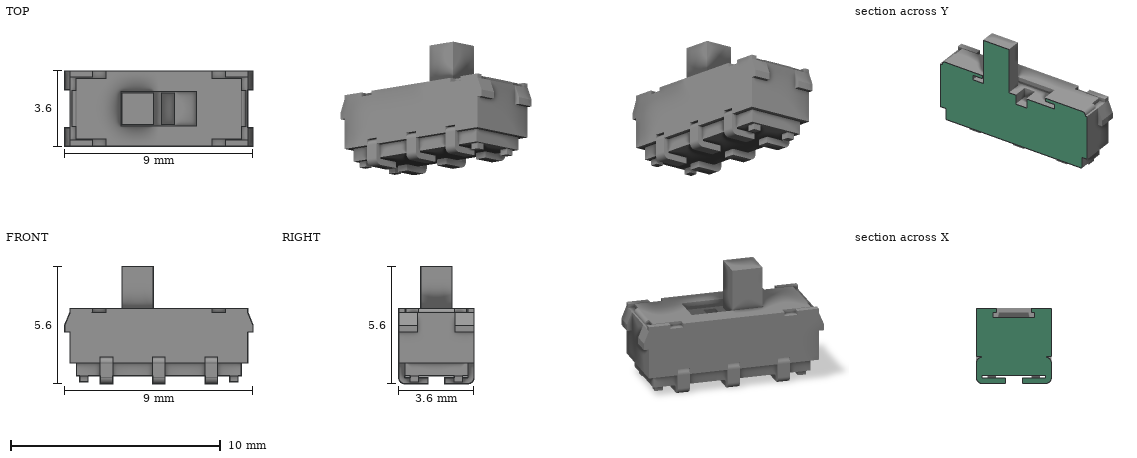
import cadquery as cq
import math

overall_length = 9.0
housing_length = 8.5
housing_width = 3.6
housing_bottom = 0.99
cover_top = 3.6
cover_thickness = 0.2
housing_top = cover_top - cover_thickness

base_length = 7.87
base_bottom = 0.38

cover_length = 7.9
cover_wide_length = 5.06
cover_end_width = 2.88

lip_width = 1.71

rim_length = 1.08
rim_thickness = 0.3

ear_reach = (overall_length - housing_length) / 2
ear_width = 0.9
ear_bottom = 2.47
ear_slope_bottom = 2.79

slot_length = 3.6
slot_width = 1.66
recess_length = 4.68
recess_width = 1.96
recess_floor = 3.18

knob_size = 1.5
knob_center_x = -1.01
knob_top = 5.6
pocket_length = 0.6
pocket_center_x = 0.43
pocket_depth = 0.5

terminal_pitch = 2.5
terminal_width = 0.6
terminal_thickness = 0.3
terminal_inner_y = 0.4

base_width = housing_width - 2 * terminal_thickness

peg_size = 0.405
peg_bottom = 0.1
peg_center_x = 3.57
peg_center_y = 1.05


def block(length, width, bottom, top, center_x=0.0, center_y=0.0):
    """Rectangular block with its lower and upper faces at the given heights."""
    return (
        cq.Workplane("XY", origin=(center_x, center_y, bottom))
        .rect(length, width)
        .extrude(top - bottom)
    )


def on_both_sides(shape, mirror_plane):
    """The shape together with its mirror image."""
    return shape.union(shape.mirror(mirror_plane))


def at_four_corners(shape):
    """The shape repeated in all four quadrants."""
    return on_both_sides(on_both_sides(shape, "YZ"), "XZ")


def make_cover():
    ends = block(cover_length, cover_end_width, housing_top, cover_top)
    middle = block(cover_wide_length, housing_width, housing_top, cover_top)
    return ends.union(middle)


def make_lip():
    """Quarter-round that rolls down from the cover edge to the housing."""
    edge_x = cover_length / 2
    arc_mid = cover_thickness * math.sqrt(0.5)
    return (
        cq.Workplane("XZ")
        .moveTo(edge_x, housing_top)
        .lineTo(edge_x + cover_thickness, housing_top)
        .threePointArc((edge_x + arc_mid, housing_top + arc_mid), (edge_x, cover_top))
        .close()
        .extrude(lip_width / 2, both=True)
    )


def make_rim():
    return block(
        rim_length,
        rim_thickness,
        housing_top,
        cover_top,
        (housing_length - rim_length) / 2,
        (housing_width - rim_thickness) / 2,
    )


def make_ear():
    """Ear with a sloped upper face, flush with the long side of the housing."""
    face_x = housing_length / 2
    return (
        cq.Workplane("XZ", origin=(0, housing_width / 2, 0))
        .moveTo(face_x, ear_bottom)
        .lineTo(face_x + ear_reach, ear_bottom)
        .lineTo(face_x + ear_reach, ear_slope_bottom)
        .lineTo(face_x, housing_top)
        .close()
        .extrude(ear_width)
    )


def make_terminal(center_x):
    """Strip with a rounded top end, a vertical leg and a foot bent inwards."""
    outer_y = housing_width / 2
    leg_inner_y = outer_y - terminal_thickness
    bend_mid = terminal_thickness * math.sqrt(0.5)
    return (
        cq.Workplane("YZ", origin=(center_x, 0, 0))
        .moveTo(terminal_inner_y, 0)
        .lineTo(leg_inner_y, 0)
        .threePointArc(
            (leg_inner_y + bend_mid, terminal_thickness - bend_mid),
            (outer_y, terminal_thickness),
        )
        .lineTo(outer_y, housing_bottom)
        .threePointArc(
            (leg_inner_y + bend_mid, housing_bottom + bend_mid),
            (leg_inner_y, housing_bottom + terminal_thickness),
        )
        .lineTo(leg_inner_y, terminal_thickness)
        .lineTo(terminal_inner_y, terminal_thickness)
        .close()
        .extrude(terminal_width / 2, both=True)
    )


def make_terminal_notch(center_x):
    """Space in the lower edge of the housing for the rounded top of a terminal."""
    return block(
        terminal_width,
        terminal_thickness,
        housing_bottom,
        housing_bottom + terminal_thickness,
        center_x,
        (housing_width - terminal_thickness) / 2,
    )


body = block(housing_length, housing_width, housing_bottom, housing_top)
body = body.union(block(base_length, base_width, base_bottom, housing_bottom))
body = body.union(make_cover())
body = body.union(on_both_sides(make_lip(), "YZ"))
body = body.union(at_four_corners(make_rim()))
body = body.union(at_four_corners(make_ear()))

body = body.cut(block(slot_length, slot_width, housing_top, cover_top))
body = body.cut(block(recess_length, recess_width, recess_floor, housing_top))
body = body.cut(
    block(pocket_length, knob_size, recess_floor - pocket_depth, recess_floor, pocket_center_x)
)
body = body.union(block(knob_size, knob_size, recess_floor, knob_top, knob_center_x))

for terminal_x in (-terminal_pitch, 0.0, terminal_pitch):
    body = body.cut(on_both_sides(make_terminal_notch(terminal_x), "XZ"))
    body = body.union(on_both_sides(make_terminal(terminal_x), "XZ"))

peg = block(peg_size, peg_size, peg_bottom, base_bottom, peg_center_x, peg_center_y)
body = body.union(at_four_corners(peg))

result = body